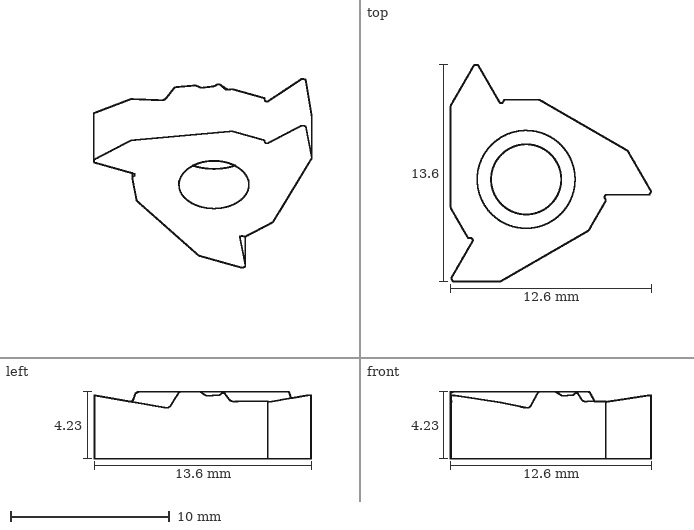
import cadquery as cq
import math

TEETH = 3
STEP = 360 / TEETH
HEIGHT = 4.23

SIDE_DISTANCE = 4.76
TOOTH_AXIS_X = -3.15
TOOTH_APEX_Y = 7.41
TIP_Y = 7.2
FLANK_SLOPE = math.tan(math.radians(60))
SHELF_Y = 5.02
RELIEF_DEPTH = 0.2
RELIEF_WIDTH = 0.15
SIDE_CORNER_R = 0.27
SHELF_CORNER_R = 0.31
TIP_R = 0.1
RELIEF_ROOT_R = 0.05
RELIEF_EDGE_R = 0.11

TIP_HEIGHT = 4.01
FLOOR_ANGLE = 10.0
WALL_DIRECTION = 23.3
WALL_DISTANCE = 3.58
WALL_ANGLE = 60.0
GROOVE_R = 0.27
WALL_TOP_R = 0.15

BORE_D = 4.4
SEAT_TOP_D = 6.16
SEAT_BOTTOM_D = 6.0
SEAT_DEPTH = 1.0
BOWL_TOP_D = 5.79
BOWL_TOP_DEPTH = 1.23
BOWL_DEPTH = 3.56

NOTCH_END = (-3.45, -0.56)
NOTCH_DIRECTION = 166.5
NOTCH_SLOPE = 10.0
NOTCH_FLOOR_WIDTH = 0.82
NOTCH_WALL_ANGLE = 37.0
NOTCH_FLOOR_R = 0.27
NOTCH_TOP_R = 0.2

CUT_SIZE = 27.26
NOTCH_CUT_LENGTH = 2.73
NOTCH_CUT_HEIGHT = 0.68


def rotated(point, angle):
    """Turn an XY point about the bore axis."""
    a = math.radians(angle)
    x, y = point
    return (x * math.cos(a) - y * math.sin(a), x * math.sin(a) + y * math.cos(a))


def flank_half_width(y):
    return (TOOTH_APEX_Y - y) / FLANK_SLOPE


def tooth_corners():
    """Corners of one third of the outline, clockwise, each with its rounding radius."""
    root_y = SHELF_Y - RELIEF_DEPTH
    root_x = TOOTH_AXIS_X + flank_half_width(root_y)
    relief_end_x = root_x + RELIEF_WIDTH
    tip_half = flank_half_width(TIP_Y)
    side_y = TOOTH_APEX_Y - (SIDE_DISTANCE + TOOTH_AXIS_X) * FLANK_SLOPE
    side_angle = math.radians(180 - STEP)
    shelf_end_x = (SIDE_DISTANCE - SHELF_Y * math.sin(side_angle)) / math.cos(side_angle)
    return [
        ((-SIDE_DISTANCE, side_y), SIDE_CORNER_R),
        ((TOOTH_AXIS_X - tip_half, TIP_Y), TIP_R),
        ((TOOTH_AXIS_X + tip_half, TIP_Y), TIP_R),
        ((root_x, root_y), RELIEF_ROOT_R),
        ((relief_end_x, root_y), RELIEF_ROOT_R),
        ((relief_end_x + RELIEF_DEPTH / FLANK_SLOPE, SHELF_Y), RELIEF_EDGE_R),
        ((shelf_end_x, SHELF_Y), SHELF_CORNER_R),
    ]


def blank():
    corners = [
        (rotated(point, -STEP * i), radius)
        for i in range(TEETH)
        for point, radius in tooth_corners()
    ]
    body = cq.Workplane("XY").polyline([point for point, _ in corners]).close().extrude(HEIGHT)
    for (x, y), radius in corners:
        nearest = cq.selectors.NearestToPointSelector((x, y, HEIGHT / 2))
        body = body.edges("|Z").edges(nearest).fillet(radius)
    return body


def half_space(origin, normal):
    """Large block standing on the plane through origin, on the side of normal."""
    plane = cq.Plane(origin=origin, normal=normal)
    return cq.Workplane(plane).rect(CUT_SIZE, CUT_SIZE).extrude(CUT_SIZE)


def wall_top_middle():
    return rotated((0, WALL_DISTANCE), WALL_DIRECTION)


def groove_cutter():
    """Space above the tooth floor and outside the wall, with a rounded inner edge."""
    floor = math.radians(FLOOR_ANGLE)
    above_floor = half_space((0, TIP_Y, TIP_HEIGHT), (0, -math.sin(floor), math.cos(floor)))
    wall = math.radians(WALL_ANGLE)
    outward = rotated((0, 1), WALL_DIRECTION)
    wall_normal = (outward[0] * math.sin(wall), outward[1] * math.sin(wall), math.cos(wall))
    outside_wall = half_space((*wall_top_middle(), HEIGHT), wall_normal)
    inner_edge = cq.selectors.NearestToPointSelector((*wall_top_middle(), HEIGHT))
    return above_floor.intersect(outside_wall).edges(inner_edge).fillet(GROOVE_R)


def cut_every_third(body, cutter):
    """Cut the same shape at each of the three teeth."""
    for i in range(TEETH):
        body = body.cut(cutter.rotate((0, 0, 0), (0, 0, 1), STEP * i))
    return body


def round_top_edges(body, point, radius):
    """Round the top-face edge closest to point, and its copies at the other teeth."""
    for i in range(TEETH):
        nearest = cq.selectors.NearestToPointSelector((*rotated(point, STEP * i), HEIGHT))
        body = body.faces(">Z").edges(nearest).fillet(radius)
    return body


def screw_seat():
    """Tapered entry, a blend, a bowl and the straight bore, revolved about Z."""
    bore_r = BORE_D / 2
    bowl_rise = BOWL_DEPTH - BOWL_TOP_DEPTH
    bowl_inset = BOWL_TOP_D / 2 - bore_r
    bowl_r = (bowl_rise**2 + bowl_inset**2) / (2 * bowl_inset)
    return (
        cq.Workplane("XZ")
        .moveTo(0, HEIGHT)
        .lineTo(SEAT_TOP_D / 2, HEIGHT)
        .lineTo(SEAT_BOTTOM_D / 2, HEIGHT - SEAT_DEPTH)
        .tangentArcPoint((BOWL_TOP_D / 2, HEIGHT - BOWL_TOP_DEPTH), relative=False)
        .radiusArc((bore_r, HEIGHT - BOWL_DEPTH), -bowl_r)
        .lineTo(bore_r, 0)
        .lineTo(0, 0)
        .close()
        .revolve(360, (0, 0, 0), (0, 1, 0))
    )


def notch_cutter():
    """Flared trough that runs down and outward from its end on the top face."""
    slope = math.radians(NOTCH_SLOPE)
    outward = rotated((1, 0), NOTCH_DIRECTION)
    across = rotated((0, 1), NOTCH_DIRECTION)
    run = (outward[0] * math.cos(slope), outward[1] * math.cos(slope), -math.sin(slope))
    plane = cq.Plane(origin=(*NOTCH_END, HEIGHT), xDir=(*across, 0), normal=run)
    floor_half = NOTCH_FLOOR_WIDTH / 2
    top_half = floor_half + NOTCH_CUT_HEIGHT / math.tan(math.radians(NOTCH_WALL_ANGLE))
    trough = (
        cq.Workplane(plane)
        .polyline([
            (-floor_half, 0),
            (floor_half, 0),
            (top_half, NOTCH_CUT_HEIGHT),
            (-top_half, NOTCH_CUT_HEIGHT),
        ])
        .close()
        .extrude(NOTCH_CUT_LENGTH)
    )
    for side in (-1, 1):
        floor_corner = plane.toWorldCoords((side * floor_half, 0, NOTCH_CUT_LENGTH / 2))
        nearest = cq.selectors.NearestToPointSelector(floor_corner)
        trough = trough.edges(nearest).fillet(NOTCH_FLOOR_R)
    return trough


body = cut_every_third(blank(), groove_cutter())
body = cut_every_third(body, notch_cutter())
body = round_top_edges(body, NOTCH_END, NOTCH_TOP_R)
body = round_top_edges(body, wall_top_middle(), WALL_TOP_R)
result = body.cut(screw_seat())